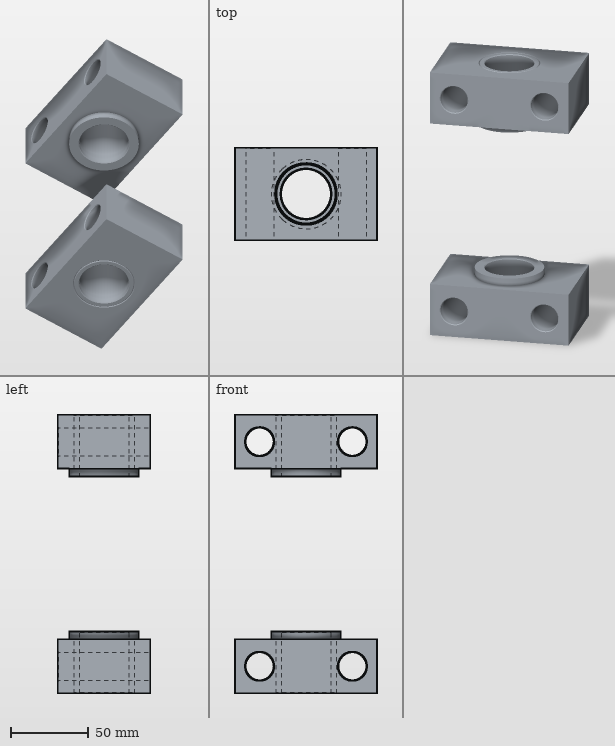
import cadquery as cq

TOTAL_HEIGHT = 180.0
BLOCK_LENGTH = 92.0
BLOCK_WIDTH = 60.0
BLOCK_HEIGHT = 35.0

CROSS_HOLE_DIAMETER = 18.0
CROSS_HOLE_SPACING = 60.0

BORE_DIAMETER = 32.0
BUSHING_DIAMETER = 39.0
FLANGE_DIAMETER = 45.0
FLANGE_THICKNESS = 5.0

EDGE_CHAMFER = 0.5

BLOCK_OFFSET = (TOTAL_HEIGHT - BLOCK_HEIGHT) / 2
INNER_FACE = BLOCK_HEIGHT / 2


def make_block():
    """Block centred on the origin, with a bushing seat and two cross holes."""
    block = cq.Workplane("XY").box(BLOCK_LENGTH, BLOCK_WIDTH, BLOCK_HEIGHT)
    block = block.faces(">Z").workplane().hole(BUSHING_DIAMETER)
    block = block.faces("<Z").edges("%CIRCLE").chamfer(EDGE_CHAMFER)
    return (
        block.faces("<Y")
        .workplane(centerOption="CenterOfBoundBox")
        .rarray(CROSS_HOLE_SPACING, 1.8, 2, 1)
        .hole(CROSS_HOLE_DIAMETER)
        .faces("<Y or >Y")
        .edges("%CIRCLE")
        .chamfer(EDGE_CHAMFER)
    )


def make_bushing():
    """Flanged bushing whose flange rests on the top face of a centred block."""
    sleeve = (
        cq.Workplane("XY", origin=(0, 0, -INNER_FACE))
        .circle(BUSHING_DIAMETER / 2)
        .extrude(BLOCK_HEIGHT)
    )
    flange = (
        cq.Workplane("XY", origin=(0, 0, INNER_FACE))
        .circle(FLANGE_DIAMETER / 2)
        .extrude(FLANGE_THICKNESS)
    )
    bushing = sleeve.union(flange).faces(">Z").workplane().hole(BORE_DIAMETER)
    bushing = bushing.faces("<Z").edges().chamfer(EDGE_CHAMFER)
    return bushing.faces(">Z").edges(cq.selectors.RadiusNthSelector(0)).chamfer(EDGE_CHAMFER)


bodies = []
for height, turn in ((-BLOCK_OFFSET, 0), (BLOCK_OFFSET, 180)):
    for make_body in (make_block, make_bushing):
        body = make_body().rotate((0, 0, 0), (1, 0, 0), turn).translate((0, 0, height))
        bodies.append(body.val())

result = cq.Compound.makeCompound(bodies)